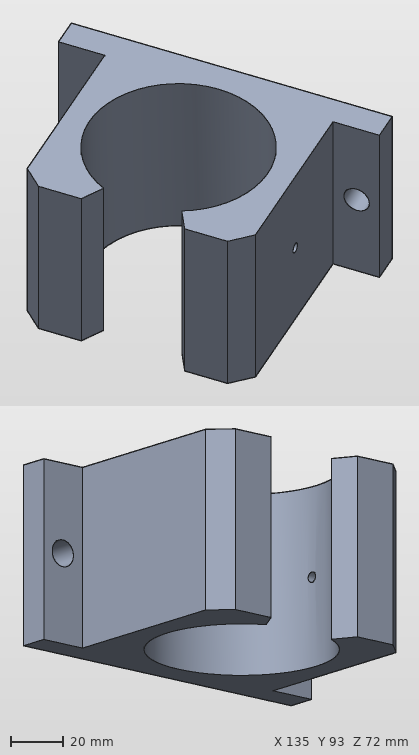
import cadquery as cq
import math

flange_width = 135.0
depth = 93.0
height = 72.0

flange_thickness = 12.2
body_width = 96.0
chamfer_width = 8.2
chamfer_depth = 7.8

bore_radius = 37.5
bore_to_back = 50.1
mouth_width = 43.5
mouth_angle = 30.0

hole_diameter = 10.7
hole_spacing = 115.8

cross_hole_diameter = 4.0
cross_hole_y = 45.4

bore_y = depth - bore_to_back


def make_flange():
    """Back plate, with a round hole through each ear at mid height."""
    plate = cq.Workplane("XY").box(flange_width, flange_thickness, height, centered=(True, False, False))
    plate = plate.translate((0, depth - flange_thickness, 0))
    hole = cq.Workplane("XZ").circle(hole_diameter / 2).extrude(-depth)
    for side in (-1, 1):
        plate = plate.cut(hole.translate((side * hole_spacing / 2, 0, height / 2)))
    return plate


def make_body():
    """Block from the front to the back face with its front outer corners cut off."""
    half_width = body_width / 2
    half_front = half_width - chamfer_width
    outline = [
        (-half_front, 0),
        (half_front, 0),
        (half_width, chamfer_depth),
        (half_width, depth),
        (-half_width, depth),
        (-half_width, chamfer_depth),
    ]
    return cq.Workplane("XY").polyline(outline).close().extrude(height)


def make_opening():
    """Vertical bore joined to a mouth that narrows from the front inwards."""
    bore = cq.Workplane("XY").center(0, bore_y).circle(bore_radius).extrude(height)
    half_mouth = mouth_width / 2
    apex_y = half_mouth / math.tan(math.radians(mouth_angle))
    mouth_outline = [(-half_mouth, 0), (half_mouth, 0), (0, apex_y)]
    mouth = cq.Workplane("XY").polyline(mouth_outline).close().extrude(height)
    return bore.union(mouth)


def make_cross_hole():
    """Round cutter running along +X from the middle of the bore, at mid height."""
    cutter = cq.Workplane("YZ").center(cross_hole_y, height / 2)
    return cutter.circle(cross_hole_diameter / 2).extrude(body_width / 2)


result = make_flange().union(make_body()).cut(make_opening()).cut(make_cross_hole())